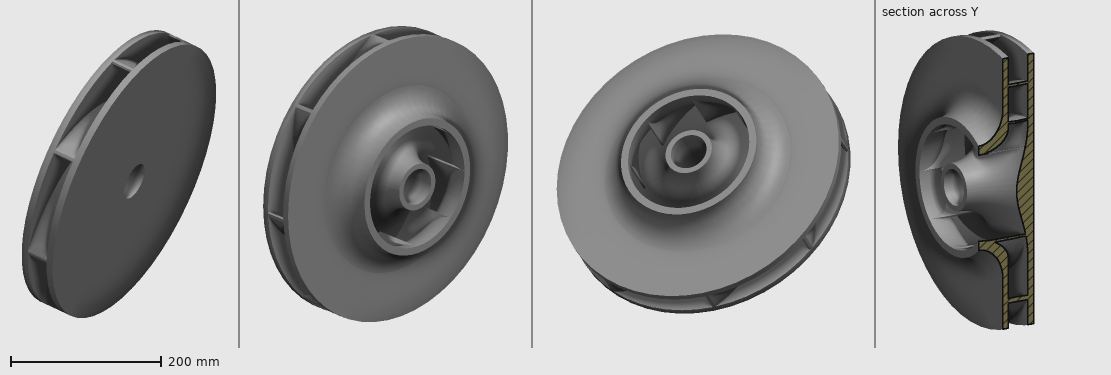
import cadquery as cq
import math


outer_radius = 395.6 / 2
total_length = 87.2
disc_wall = 9.6
channel_width = 30.0
bore_radius = 50.0 / 2
hub_nose_radius = 65.0 / 2
eye_radius = 85.0
neck_wall = 10.0
throat_radius = 130.0
outer_flare_radius = 36.5
inner_flare_rise = 24.0

blade_count = 8
blade_inlet_thickness = 2.5
blade_outlet_thickness = 4.9
blade_end_radius = 195.4
blade_start_angle = math.radians(0.3)
blade_wrap = math.radians(87.9)
blade_bow = 0.018

back_plate_x = total_length - disc_wall
shroud_inner_x = back_plate_x - channel_width
shroud_face_x = shroud_inner_x - disc_wall

hub_flare = back_plate_x
hub_foot_radius = hub_nose_radius + hub_flare


def hub_flare_point(angle):
    """Point (x, radius) on the hub flare; angle 0 is at the nose, a right angle at the back disc."""
    return (hub_flare * math.sin(angle), hub_foot_radius - hub_flare * math.cos(angle))


def shroud_inner_path():
    """Open outline along the inner shroud surface, from the eye to the rim."""
    ellipse_bottom = 270
    ellipse_right = 360
    return (
        cq.Workplane("XY")
        .moveTo(0, eye_radius)
        .ellipseArc(
            shroud_inner_x,
            inner_flare_rise,
            ellipse_bottom,
            ellipse_right,
            startAtCurrent=True,
        )
        .lineTo(shroud_inner_x, outer_radius)
    )


def revolve_about_x(profile):
    """Close an (x, radius) outline and revolve it a full turn about the X axis."""
    return profile.close().revolve(360, (0, 0, 0), (1, 0, 0))


def make_shroud():
    """Front disc with the flared inlet neck."""
    neck_radius = eye_radius + neck_wall
    profile = (
        shroud_inner_path()
        .lineTo(shroud_face_x, outer_radius)
        .lineTo(shroud_face_x, throat_radius)
        .radiusArc((0, neck_radius), outer_flare_radius)
    )
    return revolve_about_x(profile)


def make_hub():
    """Back disc with the flared hub and the through bore."""
    profile = (
        cq.Workplane("XY")
        .moveTo(0, bore_radius)
        .lineTo(0, hub_nose_radius)
        .threePointArc(hub_flare_point(math.pi / 4), hub_flare_point(math.pi / 2))
        .lineTo(back_plate_x, outer_radius)
        .lineTo(total_length, outer_radius)
        .lineTo(total_length, bore_radius)
    )
    return revolve_about_x(profile)


def make_passage():
    """Flow passage from the eye to the rim, between the shroud and hub surfaces."""
    end_angle = math.acos((hub_foot_radius - eye_radius) / hub_flare)
    middle_angle = (math.pi / 2 + end_angle) / 2
    profile = (
        shroud_inner_path()
        .lineTo(back_plate_x, outer_radius)
        .lineTo(back_plate_x, hub_foot_radius)
        .threePointArc(hub_flare_point(middle_angle), hub_flare_point(end_angle))
    )
    return revolve_about_x(profile)


blade_curve_steps = 24
blade_log_ratio = math.log(blade_end_radius / eye_radius)


def blade_inner_point(t):
    """Inner blade surface: a slightly bowed logarithmic spiral, t from 0 (eye) to 1 (rim)."""
    radius = eye_radius * math.exp(blade_log_ratio * t - blade_bow * 4 * t * (1 - t))
    angle = blade_start_angle + blade_wrap * t
    return (radius * math.cos(angle), radius * math.sin(angle))


def blade_outer_point(t):
    """Outer blade surface: the spiral moved outward along its normal by the local thickness."""
    thickness = blade_inlet_thickness + (blade_outlet_thickness - blade_inlet_thickness) * t
    growth = (blade_log_ratio - blade_bow * 4 * (1 - 2 * t)) / blade_wrap
    normal_angle = blade_start_angle + blade_wrap * t - math.atan(growth)
    y, z = blade_inner_point(t)
    return (y + thickness * math.cos(normal_angle), z + thickness * math.sin(normal_angle))


def make_blade():
    """One blade with square-cut ends, trimmed to the flow passage."""
    prism = (
        cq.Workplane("YZ")
        .parametricCurve(blade_inner_point, N=blade_curve_steps, makeWire=False)
        .moveTo(*blade_inner_point(1))
        .lineTo(*blade_outer_point(1))
        .parametricCurve(lambda t: blade_outer_point(1 - t), N=blade_curve_steps, makeWire=False)
        .moveTo(*blade_outer_point(0))
        .lineTo(*blade_inner_point(0))
        .wire()
        .extrude(total_length)
    )
    return prism.intersect(make_passage())


impeller = make_shroud().union(make_hub())
blade = make_blade()
for i in range(blade_count):
    blade_turn = 360 / blade_count * i
    impeller = impeller.union(blade.rotate((0, 0, 0), (1, 0, 0), blade_turn))

result = impeller